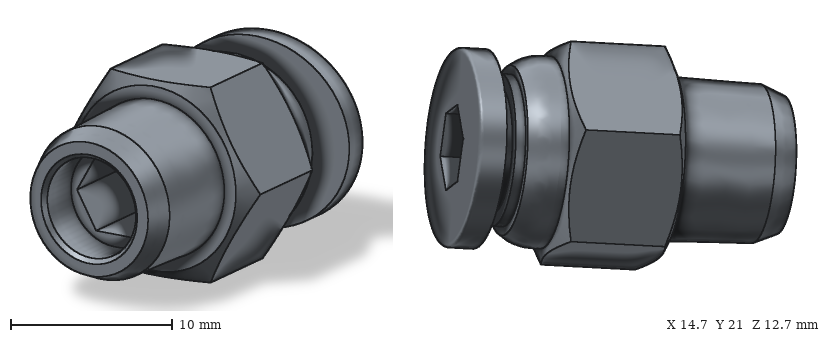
import cadquery as cq
import math

total_length = 21.0
lead_in_end = 1.51
hex_start = 7.55
hex_end = 15.02
dome_start = 15.55
dome_end = 17.5
collar_end = 18.12
flange_start = 19.25
flange_round = 0.27

tip_diameter = 8.67
taper_small_diameter = 9.93
taper_large_diameter = 10.3
body_diameter = 12.0
dome_end_diameter = 10.58
collar_diameter = 9.5
neck_diameter = 7.8
neck_fillet = 0.17

hex_across_flats = 12.7
hex_chamfer_length = 0.71

flange_width = 13.8
flange_height = 12.4

bore_mouth_diameter = 7.08
bore_diameter = 6.5
bore_depth = 3.02
key_across_flats = 4.87


def corner_diameter(across_flats):
    return across_flats / math.cos(math.pi / 6)


def plane_at(y):
    """Plane across the axis, facing +Y, with its local x along X."""
    return cq.Workplane(cq.Plane(origin=(0, y, 0), xDir=(1, 0, 0), normal=(0, 1, 0)))


def hex_prism(across_flats, start, end):
    return plane_at(start).polygon(6, corner_diameter(across_flats)).extrude(end - start)


def revolve_about_axis(profile):
    return profile.close().revolve(360, (0, 0, 0), (0, 1, 0))


def turned_body():
    body_radius = body_diameter / 2
    dome_end_radius = dome_end_diameter / 2
    dome_length = dome_end - dome_start
    dome_drop = body_radius - dome_end_radius
    dome_radius = (dome_length**2 + dome_drop**2) / (2 * dome_drop)
    half_angle = math.asin(dome_length / dome_radius) / 2
    dome_middle = (
        body_radius - dome_radius * (1 - math.cos(half_angle)),
        dome_start + dome_radius * math.sin(half_angle),
    )
    profile = (
        cq.Workplane("XY")
        .lineTo(tip_diameter / 2, 0)
        .lineTo(taper_small_diameter / 2, lead_in_end)
        .lineTo(taper_large_diameter / 2, hex_start)
        .lineTo(body_radius, hex_start)
        .lineTo(body_radius, dome_start)
        .threePointArc(dome_middle, (dome_end_radius, dome_end))
        .lineTo(collar_diameter / 2, dome_end)
        .lineTo(collar_diameter / 2, collar_end)
        .lineTo(neck_diameter / 2, collar_end)
        .lineTo(neck_diameter / 2, flange_start - neck_fillet)
        .radiusArc((neck_diameter / 2 + neck_fillet, flange_start), neck_fillet)
        .lineTo(0, flange_start)
    )
    return revolve_about_axis(profile)


def wrench_hex():
    """Hexagon with its corners cut back by a cone at both ends."""
    corner_radius = corner_diameter(hex_across_flats) / 2
    envelope = (
        cq.Workplane("XY")
        .moveTo(0, hex_start)
        .lineTo(body_diameter / 2, hex_start)
        .lineTo(corner_radius, hex_start + hex_chamfer_length)
        .lineTo(corner_radius, hex_end - hex_chamfer_length)
        .lineTo(body_diameter / 2, hex_end)
        .lineTo(0, hex_end)
    )
    return hex_prism(hex_across_flats, hex_start, hex_end).intersect(revolve_about_axis(envelope))


def release_flange():
    flange = (
        plane_at(flange_start)
        .ellipse(flange_width / 2, flange_height / 2)
        .extrude(total_length - flange_start)
    )
    return flange.faces(">Y").edges().fillet(flange_round)


def passage():
    """Countersunk round bore from the tapered end, then a hexagonal key hole."""
    mouth_chamfer = (bore_mouth_diameter - bore_diameter) / 2
    bore = revolve_about_axis(
        cq.Workplane("XY")
        .lineTo(bore_mouth_diameter / 2, 0)
        .lineTo(bore_diameter / 2, mouth_chamfer)
        .lineTo(bore_diameter / 2, bore_depth)
        .lineTo(0, bore_depth)
    )
    return bore.union(hex_prism(key_across_flats, 0, total_length))


result = turned_body().union(wrench_hex()).union(release_flange()).cut(passage())